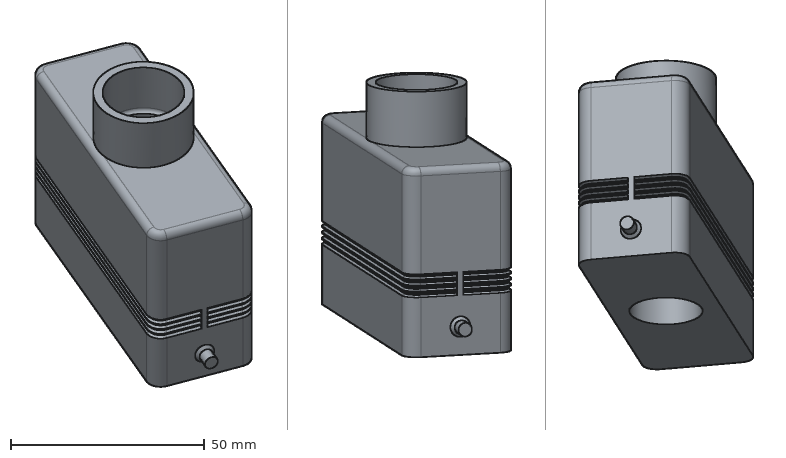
import cadquery as cq
import math

pin_span = 88.5
body_length = 79.65
body_width = 29.4
body_height = 49.9
corner_radius = 4.0
top_fillet = 2.0

total_height = 64.5
collar_diameter = 26.0
socket_diameter = 21.15
passage_diameter = 18.9
seat_radius = (socket_diameter - passage_diameter) / 2
socket_depth = 14.25

groove_count = 4
groove_pitch = 1.6
groove_opening = 1.3
groove_floor = 0.35
groove_depth = 0.8
first_groove_z = 16.5
groove_gap = 1.7

pin_diameter = 3.6
pin_height = 7.5
pin_base_diameter = 5.4
pin_base_length = (pin_base_diameter - pin_diameter) / 2


def body_prism(inset, z, height, taper=0):
    """Rounded block, inset from the body walls at its foot, narrowing by the taper angle."""
    return (
        cq.Workplane("XY", origin=(0, 0, z))
        .sketch()
        .rect(body_length - 2 * inset, body_width - 2 * inset)
        .vertices()
        .fillet(corner_radius - inset)
        .finalize()
        .extrude(height, taper=taper)
    )


def make_body():
    body = body_prism(0, 0, body_height)
    return body.faces(">Z").edges().fillet(top_fillet)


def make_groove(z):
    """Ring of trapezoidal section around the body, left out at the middle of both ends."""
    flank_height = (groove_opening - groove_floor) / 2
    flank_angle = math.degrees(math.atan2(groove_depth, flank_height))
    floor_bottom = z - groove_floor / 2
    floor_top = z + groove_floor / 2
    groove_bottom = z - groove_opening / 2
    ring = body_prism(0, groove_bottom, groove_opening)
    ring = ring.cut(body_prism(0, groove_bottom, flank_height, flank_angle))
    ring = ring.cut(body_prism(groove_depth, floor_bottom, groove_floor))
    ring = ring.cut(body_prism(groove_depth, floor_top, flank_height, -flank_angle))
    gap = cq.Workplane("XY", origin=(0, 0, z)).box(body_length, groove_gap, groove_opening)
    return ring.cut(gap)


def make_pin(side):
    """Round pin with a conical foot; side is -1 or 1 along X."""
    wall = side * body_length / 2
    foot_end = wall + side * pin_base_length
    tip = side * pin_span / 2
    return (
        cq.Workplane("XZ", origin=(0, 0, pin_height))
        .moveTo(0, 0)
        .lineTo(0, pin_base_diameter / 2)
        .lineTo(wall, pin_base_diameter / 2)
        .lineTo(foot_end, pin_diameter / 2)
        .lineTo(tip, pin_diameter / 2)
        .lineTo(tip, 0)
        .close()
        .revolve(360, (0, 0), (1, 0))
    )


def make_entry_bore():
    """Socket from the top, rounded at its floor, then a narrower passage through the bottom."""
    passage_radius = passage_diameter / 2
    socket_radius = socket_diameter / 2
    floor_z = total_height - socket_depth
    arc_reach = seat_radius * math.sin(math.radians(45))
    arc_center_z = floor_z + seat_radius
    return (
        cq.Workplane("XZ")
        .moveTo(0, 0)
        .lineTo(passage_radius, 0)
        .lineTo(passage_radius, floor_z)
        .threePointArc(
            (passage_radius + arc_reach, arc_center_z - arc_reach),
            (socket_radius, arc_center_z),
        )
        .lineTo(socket_radius, total_height)
        .lineTo(0, total_height)
        .close()
        .revolve(360, (0, 0), (0, 1))
    )


hood = make_body()
for index in range(groove_count):
    hood = hood.cut(make_groove(first_groove_z + index * groove_pitch))

collar = cq.Workplane("XY").circle(collar_diameter / 2).extrude(total_height)
hood = hood.union(collar)

for side in (-1, 1):
    hood = hood.union(make_pin(side))

result = hood.cut(make_entry_bore())